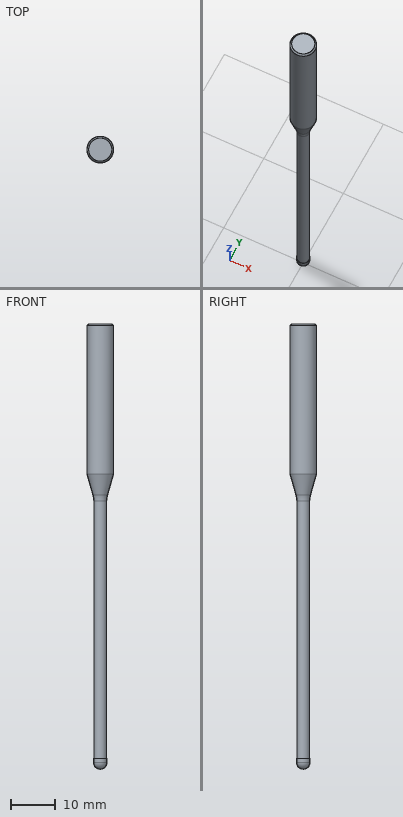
import cadquery as cq
import math

total_length = 100.0

cutter_radius = 1.5
cutter_length = 2.4

shank_radius = 3.0
shank_bottom = 66.3
end_chamfer = 0.4
neck_diameter = 2.9
neck_radius = neck_diameter / 2
neck_top = 60.2
taper_angle = math.radians(16)


def make_cutter():
    """Hemispherical tip with a short cylindrical land above it."""
    arc_offset = cutter_radius * math.sqrt(0.5)
    return (
        cq.Workplane("XZ")
        .moveTo(0, 0)
        .threePointArc((arc_offset, cutter_radius - arc_offset), (cutter_radius, cutter_radius))
        .lineTo(cutter_radius, cutter_length)
        .lineTo(0, cutter_length)
        .close()
        .revolve(360, (0, 0, 0), (0, 1, 0))
    )


def make_shank():
    """Slender neck, blended by a tangent arc into the taper, and a chamfered shank."""
    corner_height = shank_bottom - (shank_radius - neck_radius) / math.tan(taper_angle)
    tangent_length = corner_height - neck_top
    blend_top_radius = neck_radius + tangent_length * math.sin(taper_angle)
    blend_top = corner_height + tangent_length * math.cos(taper_angle)
    return (
        cq.Workplane("XZ")
        .moveTo(0, cutter_length)
        .lineTo(neck_radius, cutter_length)
        .lineTo(neck_radius, neck_top)
        .tangentArcPoint((blend_top_radius, blend_top), relative=False)
        .lineTo(shank_radius, shank_bottom)
        .lineTo(shank_radius, total_length - end_chamfer)
        .lineTo(shank_radius - end_chamfer, total_length)
        .lineTo(0, total_length)
        .close()
        .revolve(360, (0, 0, 0), (0, 1, 0))
    )


cutter = make_cutter()
shank = make_shank()

result = cq.Compound.makeCompound([cutter.val(), shank.val()])